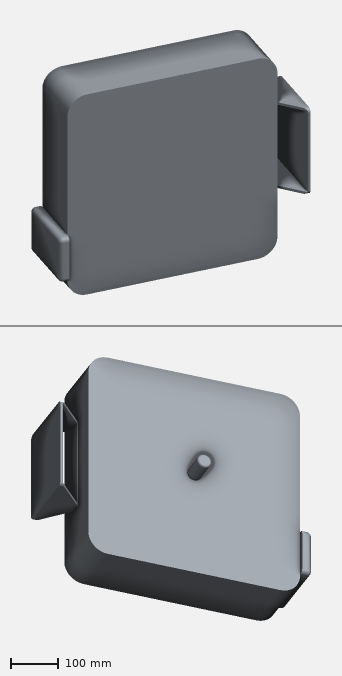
import cadquery as cq

BODY_WIDTH = 135.0
BODY_SIDE = 485.0
BODY_CORNER_RADIUS = 45.0

SHAFT_DIAMETER = 32.0
SHAFT_LENGTH = 60.0
SHAFT_TIP_FILLET = 5.0

PAD_WIDTH = 160.0
PAD_HEIGHT = 107.0
PAD_THICKNESS = 23.0
PAD_CENTRE_Z = -142.5
PAD_FILLET = 10.0

BRACKET_WIDTH = 164.0
BRACKET_HEIGHT = 208.0
BRACKET_DEPTH = 70.0
BRACKET_WALL = 6.0
BRACKET_BASE_WALL = 4.0
BRACKET_RIM_THICKNESS = 5.0
BRACKET_BASE_WIDTH = 20.0
BRACKET_CORNER_RADIUS = 10.0

HALF_SIDE = BODY_SIDE / 2


def make_body():
    body = cq.Workplane("XY").box(BODY_WIDTH, BODY_SIDE, BODY_SIDE)
    return body.edges("|X").fillet(BODY_CORNER_RADIUS)


def make_shaft():
    face_plane = cq.Workplane("YZ").workplane(offset=-BODY_WIDTH / 2)
    shaft = face_plane.circle(SHAFT_DIAMETER / 2).extrude(-SHAFT_LENGTH)
    return shaft.faces("<X").fillet(SHAFT_TIP_FILLET)


def make_pad():
    pad = cq.Workplane("XY").box(PAD_WIDTH, PAD_THICKNESS, PAD_HEIGHT)
    pad = pad.edges("|Y or <Y").fillet(PAD_FILLET)
    return pad.translate((0, -HALF_SIDE - PAD_THICKNESS / 2, PAD_CENTRE_Z))


def make_bracket():
    outer_y = HALF_SIDE + BRACKET_DEPTH
    flare_y = outer_y - BRACKET_RIM_THICKNESS
    plate_inner_y = outer_y - BRACKET_WALL

    flared_prism = (
        cq.Workplane("XY")
        .polyline([
            (-BRACKET_BASE_WIDTH / 2, HALF_SIDE),
            (BRACKET_BASE_WIDTH / 2, HALF_SIDE),
            (BRACKET_WIDTH / 2, flare_y),
            (BRACKET_WIDTH / 2, outer_y),
            (-BRACKET_WIDTH / 2, outer_y),
            (-BRACKET_WIDTH / 2, flare_y),
        ])
        .close()
        .extrude(BRACKET_HEIGHT / 2, both=True)
    )

    corner_envelope = (
        cq.Workplane("XY")
        .box(BRACKET_WIDTH, BRACKET_DEPTH, BRACKET_HEIGHT)
        .edges("|Y")
        .fillet(BRACKET_CORNER_RADIUS)
        .translate((0, HALF_SIDE + BRACKET_DEPTH / 2, 0))
    )

    opening_start_y = HALF_SIDE + BRACKET_BASE_WALL
    opening = cq.Workplane("XY").box(
        BRACKET_WIDTH,
        plate_inner_y - opening_start_y,
        BRACKET_HEIGHT - 2 * BRACKET_WALL,
    ).translate((0, (opening_start_y + plate_inner_y) / 2, 0))

    return flared_prism.intersect(corner_envelope).cut(opening)


result = make_body().union(make_shaft()).union(make_pad()).union(make_bracket())